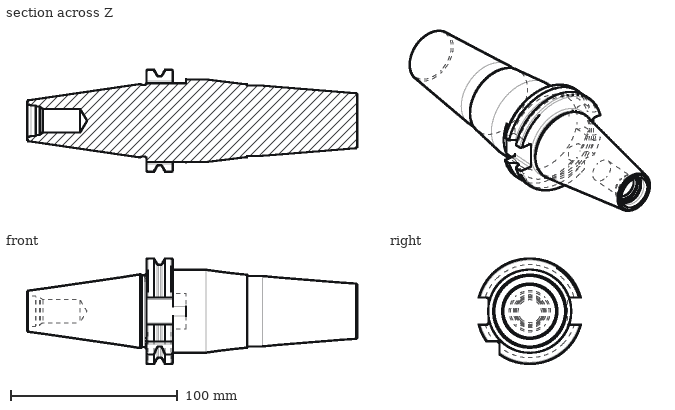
import cadquery as cq
import math

total_length = 198.2
taper_end_x = 67.8
neck_start_x = 69.0
flange_start_x = 71.5
flange_end_x = 87.5
shoulder_x = 107.3
shoulder_end_x = 132.0
collar_end_x = 141.4

taper_ratio = 7 / 24
gauge_radius = 22.2
neck_radius = 21.6
flange_radius = 31.7
body_radius = 25.0
shoulder_end_radius = 22.0
collar_radius = 21.2
nose_radius = 16.7

taper_chamfer_length = 0.5
taper_chamfer_depth = 0.8
nose_chamfer = 0.8
flange_rounding = 1.0
neck_fillet = 1.2
shoulder_edge_chamfer = 0.4
collar_fillet = 0.8

groove_center_x = 79.5
groove_floor_radius = 28.0
groove_floor_width = 2.4
groove_half_angle = math.radians(30)
groove_fillet = 1.0

mouth_radius = 10.0
relief_radius = 9.1
pilot_radius = 8.5
thread_radius = 8.0
core_radius = 7.0
relief_start_x = 2.4
relief_end_x = 5.0
pilot_end_x = 7.5
step_chamfer_length = 0.4
core_start_x = 9.5
core_end_x = 31.7
drill_tip_half_angle = math.radians(59)

slot_width = 16.3
flat_end_x = 95.4
front_flat_width = 5.5
front_slot_floor = math.sqrt(body_radius**2 - (front_flat_width / 2) ** 2)
rear_slot_floor = 22.6
slot_fillet = 1.2
notch_y = 18.2
notch_z = 18.0
notch_fillet = 1.8

cut_clearance = 2.0
select_margin = 0.2


def revolve_about_x(profile):
    return profile.close().revolve(360, (0, 0, 0), (1, 0, 0))


def make_body():
    taper_start_radius = gauge_radius - taper_end_x * taper_ratio / 2
    chamfered_taper_radius = taper_start_radius + taper_chamfer_length * taper_ratio / 2
    return revolve_about_x(
        cq.Workplane("XY")
        .moveTo(0, 0)
        .lineTo(0, taper_start_radius - taper_chamfer_depth)
        .lineTo(taper_chamfer_length, chamfered_taper_radius)
        .lineTo(taper_end_x, gauge_radius)
        .lineTo(neck_start_x, neck_radius)
        .lineTo(flange_start_x - neck_fillet, neck_radius)
        .radiusArc((flange_start_x, neck_radius + neck_fillet), -neck_fillet)
        .lineTo(flange_start_x, flange_radius - flange_rounding)
        .radiusArc((flange_start_x + flange_rounding, flange_radius), flange_rounding)
        .lineTo(flange_end_x - flange_rounding, flange_radius)
        .radiusArc((flange_end_x, flange_radius - flange_rounding), flange_rounding)
        .lineTo(flange_end_x, body_radius)
        .lineTo(shoulder_x, body_radius)
        .lineTo(shoulder_end_x - shoulder_edge_chamfer, shoulder_end_radius)
        .lineTo(shoulder_end_x, collar_radius + collar_fillet)
        .radiusArc((shoulder_end_x + collar_fillet, collar_radius), -collar_fillet)
        .lineTo(collar_end_x, collar_radius)
        .lineTo(total_length - nose_chamfer, nose_radius)
        .lineTo(total_length, nose_radius - nose_chamfer)
        .lineTo(total_length, 0)
    )


def make_groove():
    half_floor = groove_floor_width / 2
    cut_radius = flange_radius + cut_clearance
    half_mouth = half_floor + (cut_radius - groove_floor_radius) * math.tan(groove_half_angle)
    groove = revolve_about_x(
        cq.Workplane("XY")
        .moveTo(groove_center_x - half_floor, groove_floor_radius)
        .lineTo(groove_center_x + half_floor, groove_floor_radius)
        .lineTo(groove_center_x + half_mouth, cut_radius)
        .lineTo(groove_center_x - half_mouth, cut_radius)
    )
    floor_edges = cq.selectors.BoxSelector(
        (groove_center_x - half_floor - select_margin, -flange_radius, -flange_radius),
        (groove_center_x + half_floor + select_margin, flange_radius, flange_radius),
    )
    return groove.edges("%CIRCLE").edges(floor_edges).fillet(groove_fillet)


def make_bore():
    tip_length = core_radius / math.tan(drill_tip_half_angle)
    return revolve_about_x(
        cq.Workplane("XY")
        .lineTo(0, mouth_radius)
        .lineTo(relief_start_x, relief_radius)
        .lineTo(relief_end_x, relief_radius)
        .lineTo(relief_end_x + step_chamfer_length, pilot_radius)
        .lineTo(pilot_end_x, pilot_radius)
        .lineTo(pilot_end_x + step_chamfer_length, thread_radius)
        .lineTo(core_start_x, core_radius)
        .lineTo(core_end_x, core_radius)
        .lineTo(core_end_x + tip_length, 0)
    )


def make_drive_slot(side, floor):
    """Slot through the flange at +Y (side=1) or -Y (side=-1), running out as a flat on the body."""
    depth = flange_radius - floor + cut_clearance
    slot = (
        cq.Workplane("XY")
        .box(flange_end_x - flange_start_x, depth, slot_width, centered=(False, False, True))
        .edges("|X and <Y")
        .fillet(slot_fillet)
        .translate((flange_start_x, floor, 0))
    )
    flat = (
        cq.Workplane("XY")
        .box(flat_end_x - flange_end_x, depth, 2 * body_radius, centered=(False, False, True))
        .translate((flange_end_x, floor, 0))
    )
    turn = 0 if side > 0 else 180
    return slot.union(flat).rotate((0, 0, 0), (1, 0, 0), turn)


def make_notch():
    """Square notch in the -Y, -Z corner, through the full flange width."""
    return (
        cq.Workplane("XY")
        .box(flange_end_x - flange_start_x, flange_radius, flange_radius, centered=False)
        .edges("|X and <Y and <Z")
        .fillet(notch_fillet)
        .rotate((0, 0, 0), (1, 0, 0), 180)
        .translate((flange_start_x, -notch_y, -notch_z))
    )


result = (
    make_body()
    .cut(make_groove())
    .cut(make_bore())
    .cut(make_drive_slot(-1, front_slot_floor))
    .cut(make_drive_slot(1, rear_slot_floor))
    .cut(make_notch())
)